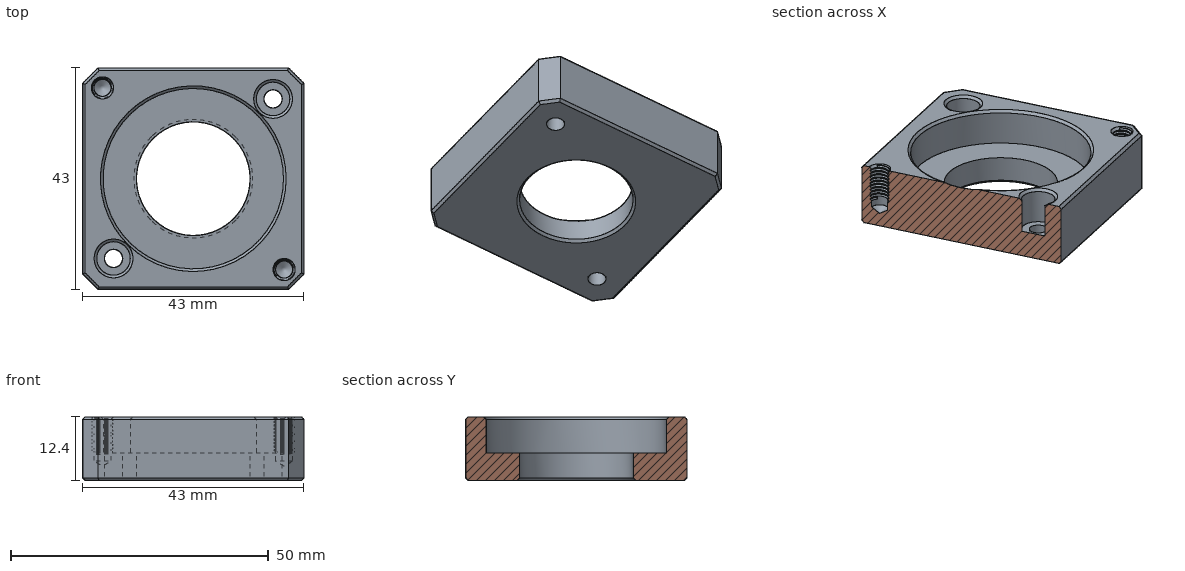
import cadquery as cq
import math

side = 43.0
height = 12.4
corner_cut = 3.0
edge_chamfer = 0.5

bore_diameter = 35.0
bore_depth = 7.0
window_diameter = 22.0

screw_offset = 15.5
screw_diameter = 3.5
counterbore_diameter = 6.5
counterbore_depth = bore_depth

tap_offset = 17.65
tap_minor_diameter = 3.3
tap_major_diameter = 4.0
tap_mouth_diameter = 4.3
tap_depth = 8.6
drill_tip_angle = 118.0
thread_pitch = 0.7
thread_turns = 10
thread_overlap = 0.05
thread_root_width = 0.1
thread_mouth_width = 0.5
thread_top_gap = 0.2
thread_start_angle = 220.0


def make_body():
    """Square block with cut corners and chamfered top and bottom rims."""
    block = cq.Workplane("XY").box(side, side, height, centered=(True, True, False))
    block = block.edges("|Z").chamfer(corner_cut)
    return block.faces("<Z or >Z").chamfer(edge_chamfer)


def make_chamfered_bore(diameter, depth):
    """Cutter for a flat bore sunk from the top face, with a 45 degree chamfer at its mouth."""
    radius = diameter / 2
    floor = height - depth
    profile = [
        (0, floor),
        (radius, floor),
        (radius, height - edge_chamfer),
        (radius + edge_chamfer, height),
        (0, height),
    ]
    return cq.Workplane("XZ").polyline(profile).close().revolve(360, (0, 0, 0), (0, 1, 0))


def make_window():
    """Cutter for the central window, with a 45 degree chamfer at the bottom face."""
    radius = window_diameter / 2
    profile = [
        (0, 0),
        (radius + edge_chamfer, 0),
        (radius, edge_chamfer),
        (radius, height),
        (0, height),
    ]
    return cq.Workplane("XZ").polyline(profile).close().revolve(360, (0, 0, 0), (0, 1, 0))


def make_screw_hole():
    """Cutter for a plain screw hole through the full height."""
    return cq.Workplane("XY").circle(screw_diameter / 2).extrude(height)


def make_tapped_hole():
    """Drilled hole with a conical tip and a countersunk mouth."""
    radius = tap_minor_diameter / 2
    mouth_radius = tap_mouth_diameter / 2
    floor = height - tap_depth
    tip = floor - radius / math.tan(math.radians(drill_tip_angle / 2))
    profile = [
        (0, tip),
        (radius, floor),
        (radius, height - (mouth_radius - radius)),
        (mouth_radius, height),
        (0, height),
    ]
    return cq.Workplane("XZ").polyline(profile).close().revolve(360, (0, 0, 0), (0, 1, 0))


def make_thread():
    """Cutter for the helical V groove, running out through the countersunk mouth."""
    minor_radius = tap_minor_diameter / 2
    major_radius = tap_major_diameter / 2
    flank_slope = (thread_mouth_width - thread_root_width) / 2 / (major_radius - minor_radius)
    inner_radius = minor_radius - thread_overlap
    half_root = thread_root_width / 2
    half_inner = thread_mouth_width / 2 + thread_overlap * flank_slope
    thread_length = thread_pitch * thread_turns
    groove = [
        (inner_radius, -half_inner),
        (major_radius, -half_root),
        (major_radius, half_root),
        (inner_radius, half_inner),
    ]
    helix = cq.Workplane(cq.Wire.makeHelix(thread_pitch, thread_length, inner_radius))
    thread = cq.Workplane("XZ").polyline(groove).close().sweep(helix, isFrenet=True)
    thread = thread.rotate((0, 0, 0), (0, 0, 1), thread_start_angle)
    return thread.translate((0, 0, height - thread_length - thread_top_gap))


result = make_body()

result = result.cut(make_chamfered_bore(bore_diameter, bore_depth))
result = result.cut(make_window())

for direction in (-1, 1):
    screw_place = (direction * screw_offset, direction * screw_offset, 0)
    counterbore = make_chamfered_bore(counterbore_diameter, counterbore_depth)
    result = result.cut(counterbore.translate(screw_place))
    result = result.cut(make_screw_hole().translate(screw_place))

    tap_place = (direction * tap_offset, -direction * tap_offset, 0)
    result = result.cut(make_tapped_hole().translate(tap_place))
    result = result.cut(make_thread().translate(tap_place))